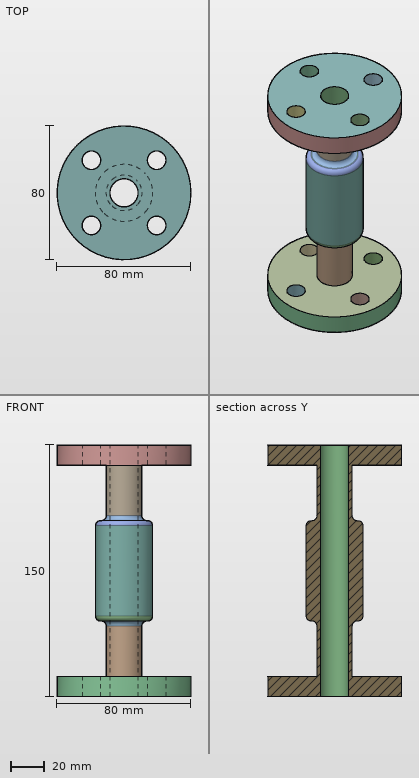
import cadquery as cq

total_length = 150.0
half_length = total_length / 2

flange_diameter = 80.0
flange_thickness = 12.0
bolt_circle_diameter = 55.0
bolt_hole_diameter = 11.0
bolt_hole_count = 4
first_bolt_angle = 45.0

pipe_diameter = 21.3
bore_diameter = 16.6
body_diameter = 34.2
body_length = 60.0
body_edge_radius = 3.0
neck_fillet_radius = 3.0


def cylinder(diameter, length):
    """Cylinder on the Z axis, centred on the origin."""
    return cq.Workplane("XY").cylinder(length, diameter / 2)


def pipe_with_body():
    """Solid pipe with the thicker body, its rims rounded and its necks filleted."""
    body = cylinder(body_diameter, body_length).faces("|Z").edges().fillet(body_edge_radius)
    joined = body.union(cylinder(pipe_diameter, total_length))
    reach_x = (pipe_diameter + neck_fillet_radius) / 2
    reach_z = (body_length + neck_fillet_radius) / 2
    neck_edges = cq.selectors.BoxSelector(
        (-reach_x, -reach_x, -reach_z), (reach_x, reach_x, reach_z), boundingbox=True
    )
    return joined.edges(neck_edges).fillet(neck_fillet_radius)


def flange(bottom_z):
    """Round flange with its ring of bolt holes."""
    disc = (
        cq.Workplane("XY")
        .workplane(offset=bottom_z)
        .circle(flange_diameter / 2)
        .extrude(flange_thickness)
    )
    return (
        disc.faces(">Z")
        .workplane()
        .polarArray(bolt_circle_diameter / 2, first_bolt_angle, 360, bolt_hole_count)
        .hole(bolt_hole_diameter)
    )


result = pipe_with_body()
for flange_bottom in (-half_length, half_length - flange_thickness):
    result = result.union(flange(flange_bottom))

result = result.cut(cylinder(bore_diameter, total_length))